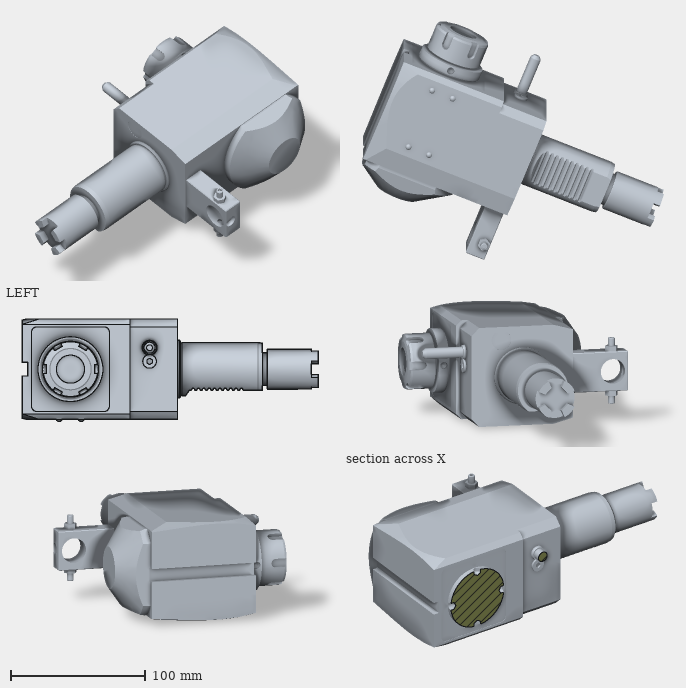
import cadquery as cq
import math


BODY_LEFT = -42.0
BODY_RIGHT = 38.7
BODY_BACK = 116.0
BODY_HALF_HEIGHT = 37.5
LEFT_CHAMFER = 4.0
STEP_LEFT = -39.2
STEP_LENGTH = 35.5
STEP_CHAMFER = 6.0
SLOPE_START_X = 23.9
SLOPE_ANGLE = 15.0
SLOPE_TAN = math.tan(math.radians(SLOPE_ANGLE))

RELIEF_RISE = 0.25
RELIEF_PEAK_X = -14.4
RELIEF_PEAK_Y = 112.8
RELIEF_CORNER_LEFT_X = -37.7
RELIEF_CORNER_Y = 103.4
RELIEF_END_X = 45.0
RELIEF_END_Y = 96.7
RELIEF_SWEEP = 60.0

NOTCH_WIDTH = 10.0
NOTCH_DEPTH = 4.4

COLLAR_RADIUS = 21.7
COLLAR_LENGTH = 2.0
COLLAR_CHAMFER = 0.8
SHANK_RADIUS = 20.0
SHANK_LENGTH = 63.2
RELIEF_GROOVE_RADIUS = 19.6
RELIEF_GROOVE_END = 3.2
PILOT_RADIUS = 19.4
PILOT_LENGTH = 3.4
NECK_RADIUS = 12.3
DRIVE_START = 66.6
DRIVE_RADIUS = 15.0
DRIVE_SHOULDER = 99.7
DRIVE_CHAMFER = 0.5
DRIVE_END = 104.85

FLAT_Z = -15.9
RAMP_START_Y = -5.8
RAMP_END_Y = -8.6
FIRST_GROOVE_Y = -11.5
GROOVE_PITCH = 4.0
GROOVE_COUNT = 10
GROOVE_DEPTH = 1.5
GROOVE_MOUTH = 3.0
GROOVE_FLOOR = 1.2

DOG_COUNT = 4
FIRST_DOG_ANGLE = math.radians(45)
DOG_HALF_ANGLE = math.radians(21)
DOG_INNER_RADIUS = 9.6

PLUG_X = -16.2
PLUG_Z = 27.6
PLUG_RADIUS = 7.5
PLUG_RECESS = 0.2

SPINDLE_Y = 80.0
PLATE_LENGTH = 58.0
PLATE_HEIGHT = 63.2
PLATE_CORNER = 4.0
PLATE_RECESS = 0.3
RING_RADIUS = 24.2
RING_FRONT_X = -50.2
RING_BACK_X = -42.9
RING_SEAT_RADIUS = 23.2
RING_HOLE_X = -46.4
RING_HOLE_RADIUS = 2.7
RING_HOLE_DEPTH = 3.0
RING_HOLE_TIP = 1.6
RING_HOLE_COUNT = 4
NUT_NECK_RADIUS = 16.5
NUT_BACK_X = -51.3
NUT_RADIUS = 20.9
NUT_BEVEL_X = -69.1
NUT_EDGE_X = -70.7
NUT_EDGE_RADIUS = 20.4
NUT_FACE_X = -71.8
NUT_FACE_RADIUS = 15.4
NUT_BACK_CHAMFER = 0.5
NUT_BORE_RADIUS = 10.5
NUT_BORE_DEPTH = 3.0
NUT_SLOT_COUNT = 6
NUT_SLOT_WIDTH = 6.6
NUT_SLOT_END_X = -58.7
NUT_SLOT_FLOOR_RADIUS = 17.8

CAP_RADIUS = 40.0
CAP_RIM_X = 44.6
CAP_FACE_X = 61.6
CAP_FACE_RADIUS = 16.0
CAP_BACK_Y = 112.2
CAP_SHOULDER_X = 41.0

BRACKET_RIGHT = 81.8
BRACKET_FRONT_Y = 1.1
BRACKET_BACK_Y = 16.0
BRACKET_HEIGHT = 30.0
BRACKET_CHAMFER = 0.6
BRACKET_HOLE_X = 69.9
BRACKET_HOLE_RADIUS = 9.3
END_HOLE_RADIUS = 4.4
SCREW_Y = 6.0
SCREW_RADIUS = 2.55
SCREW_CHAMFER = 0.4
SCREW_BORE_RADIUS = 1.8
SCREW_TOP_Z = 25.0
SCREW_BORE_END_Z = 11.0
SCREW_SOCKET_SIZE = 3.0
SCREW_SOCKET_DEPTH = 2.0
LOCKNUT_ACROSS_FLATS = 8.2
LOCKNUT_TOP_Z = 18.8
LOCKNUT_TURN = 30.0

PIPE_Y = 21.0
PIPE_Z = 16.0
PIPE_RADIUS = 4.1
PIPE_TIP_X = NUT_FACE_X
PIPE_TIP_RADIUS = 2.2
PIPE_TIP_LENGTH = 2.4
PIPE_COLLAR_X = -41.3
PIPE_COLLAR_RADIUS = 5.6
PIPE_COLLAR_TIP_RADIUS = 5.1
SIDE_SCREW_Z = 5.8
SIDE_SCREW_RADIUS = 5.1
SIDE_SCREW_TOP_X = -40.9
SIDE_SCREW_SOCKET = 4.0
SIDE_SCREW_SOCKET_DEPTH = 1.5

RIVET_XS = (-30.5, 16.5)
RIVET_YS = (72.0, 88.5)
RIVET_RADIUS = 2.2
RIVET_HEIGHT = 1.6

OVERLAP = 1.0


def box_between(x_range, y_range, z_range):
    """Axis-aligned box spanning three (low, high) ranges."""
    sizes = [high - low for low, high in (x_range, y_range, z_range)]
    corner = cq.Vector(x_range[0], y_range[0], z_range[0])
    return cq.Workplane(obj=cq.Solid.makeBox(*sizes, corner))


def x_cylinder(radius, x_start, x_end, y, z):
    """Cylinder along X between two X positions."""
    return cq.Workplane("YZ", origin=(x_start, y, z)).circle(radius).extrude(x_end - x_start)


def revolve_about_spindle(profile):
    """Solid of revolution about the spindle axis from (x, radius) points."""
    return (
        cq.Workplane("XY", origin=(0, SPINDLE_Y, 0))
        .polyline(profile)
        .close()
        .revolve(360, (0, 0), (1, 0))
    )


def slope_height(x):
    """Height of the inclined upper face at a given X."""
    return BODY_HALF_HEIGHT - (x - SLOPE_START_X) * SLOPE_TAN


def body_outline(left, chamfer):
    """Corner points (x, z) of the body cross-section for a given left side."""
    upper = [
        (left, BODY_HALF_HEIGHT - chamfer),
        (left + chamfer, BODY_HALF_HEIGHT),
        (SLOPE_START_X, BODY_HALF_HEIGHT),
        (BODY_RIGHT, slope_height(BODY_RIGHT)),
    ]
    lower = [(x, -z) for x, z in reversed(upper)]
    return upper + lower


def make_body():
    """Block with a stepped, chamfered left side and inclined right side."""
    front = (
        cq.Workplane("XZ")
        .polyline(body_outline(STEP_LEFT, STEP_CHAMFER))
        .close()
        .extrude(-STEP_LENGTH)
    )
    back = (
        cq.Workplane("XZ", origin=(0, STEP_LENGTH, 0))
        .polyline(body_outline(BODY_LEFT, LEFT_CHAMFER))
        .close()
        .extrude(STEP_LENGTH - BODY_BACK)
    )
    return front.union(back)


def make_back_relief():
    """Cutter above a crowned curve on the back face, swept forward and upward."""

    def back_height(y):
        return BODY_HALF_HEIGHT - RELIEF_RISE * (BODY_BACK - y)

    curve = [
        (-RELIEF_END_X, back_height(RELIEF_END_Y)),
        (RELIEF_CORNER_LEFT_X, back_height(RELIEF_CORNER_Y)),
        (RELIEF_PEAK_X, back_height(RELIEF_PEAK_Y)),
        (SLOPE_START_X, back_height(RELIEF_CORNER_Y)),
        (RELIEF_END_X, back_height(RELIEF_END_Y)),
    ]
    clearance_z = BODY_HALF_HEIGHT + 2 * OVERLAP
    outline = (
        cq.Workplane("XZ", origin=(0, BODY_BACK, 0))
        .moveTo(*curve[0])
        .spline(curve[1:], includeCurrent=True)
        .lineTo(RELIEF_END_X, clearance_z)
        .lineTo(-RELIEF_END_X, clearance_z)
        .close()
    )
    sweep = cq.Vector(0, -RELIEF_SWEEP, RELIEF_SWEEP * RELIEF_RISE)
    return cq.Workplane(obj=cq.Solid.extrudeLinear(outline.val(), [], sweep))


def make_shank():
    """Turned shank with collar, neck and drive end, and its toothed flat."""
    profile = [
        (0, OVERLAP),
        (COLLAR_RADIUS, OVERLAP),
        (COLLAR_RADIUS, COLLAR_CHAMFER - COLLAR_LENGTH),
        (COLLAR_RADIUS - COLLAR_CHAMFER, -COLLAR_LENGTH),
        (RELIEF_GROOVE_RADIUS, -COLLAR_LENGTH),
        (RELIEF_GROOVE_RADIUS, -RELIEF_GROOVE_END),
        (SHANK_RADIUS, -RELIEF_GROOVE_END),
        (SHANK_RADIUS, PILOT_LENGTH - SHANK_LENGTH),
        (PILOT_RADIUS, -SHANK_LENGTH),
        (NECK_RADIUS, -SHANK_LENGTH),
        (NECK_RADIUS, -DRIVE_START),
        (DRIVE_RADIUS - DRIVE_CHAMFER, -DRIVE_START),
        (DRIVE_RADIUS, -DRIVE_START - DRIVE_CHAMFER),
        (DRIVE_RADIUS, -DRIVE_END),
        (0, -DRIVE_END),
    ]
    shank = cq.Workplane("XY").polyline(profile).close().revolve(360, (0, 0), (0, 1))
    return shank.cut(make_toothed_flat()).cut(make_dog_clearance())


def make_toothed_flat():
    """Cutter for the flat below the shank, its ramp and its tooth grooves."""
    below_z = -COLLAR_RADIUS - OVERLAP
    ramp_slope = (FLAT_Z + SHANK_RADIUS) / (RAMP_START_Y - RAMP_END_Y)
    ramp_foot_y = RAMP_START_Y + (-SHANK_RADIUS - below_z) / ramp_slope
    flat = [
        (ramp_foot_y, below_z),
        (RAMP_END_Y, FLAT_Z),
        (-SHANK_LENGTH - OVERLAP, FLAT_Z),
        (-SHANK_LENGTH - OVERLAP, below_z),
    ]
    side = cq.Workplane("YZ")
    cutter = side.polyline(flat).close().extrude(SHANK_RADIUS, both=True)
    collar_guard = box_between(
        (-COLLAR_RADIUS, COLLAR_RADIUS), (-COLLAR_LENGTH, OVERLAP), (below_z, 0)
    )
    cutter = cutter.cut(collar_guard)
    for index in range(GROOVE_COUNT):
        center_y = FIRST_GROOVE_Y - index * GROOVE_PITCH
        groove = [
            (center_y - GROOVE_MOUTH / 2, FLAT_Z),
            (center_y - GROOVE_FLOOR / 2, FLAT_Z + GROOVE_DEPTH),
            (center_y + GROOVE_FLOOR / 2, FLAT_Z + GROOVE_DEPTH),
            (center_y + GROOVE_MOUTH / 2, FLAT_Z),
        ]
        cutter = cutter.union(side.polyline(groove).close().extrude(SHANK_RADIUS, both=True))
    return cutter


def make_dog_clearance():
    """Cutter for the space around the dogs, which have radial sides and straight inner faces."""

    def at(radius, angle):
        return (radius * math.cos(angle), radius * math.sin(angle))

    end_plane = cq.Workplane("XZ", origin=(0, -DRIVE_SHOULDER, 0))
    dog_length = DRIVE_END - DRIVE_SHOULDER
    outer_radius = DRIVE_RADIUS + 2 * OVERLAP
    clearance = end_plane.circle(DRIVE_RADIUS + OVERLAP).extrude(dog_length + OVERLAP)
    for index in range(DOG_COUNT):
        middle = FIRST_DOG_ANGLE + index * 2 * math.pi / DOG_COUNT
        low = middle - DOG_HALF_ANGLE
        high = middle + DOG_HALF_ANGLE
        dog = (
            end_plane.moveTo(*at(DOG_INNER_RADIUS, low))
            .lineTo(*at(outer_radius, low))
            .threePointArc(at(outer_radius, middle), at(outer_radius, high))
            .lineTo(*at(DOG_INNER_RADIUS, high))
            .close()
            .extrude(dog_length + OVERLAP)
        )
        clearance = clearance.cut(dog)
    return clearance


def make_plug_recess():
    """Shallow round recess marking the plug beside the shank."""
    return (
        cq.Workplane("XZ", origin=(PLUG_X, PLUG_RECESS, PLUG_Z))
        .circle(PLUG_RADIUS)
        .extrude(PLUG_RECESS + OVERLAP)
    )


def make_plate_recess():
    """Shallow rounded rectangular seat of the bearing plate around the spindle."""
    return (
        cq.Workplane("YZ", origin=(BODY_LEFT - OVERLAP, SPINDLE_Y, 0))
        .rect(PLATE_LENGTH, PLATE_HEIGHT)
        .extrude(PLATE_RECESS + OVERLAP)
        .edges("|X")
        .fillet(PLATE_CORNER)
    )


def make_collet_nut():
    """Spindle ring and slotted collet nut."""
    profile = [
        (BODY_LEFT + OVERLAP, 0),
        (BODY_LEFT + OVERLAP, RING_SEAT_RADIUS),
        (RING_BACK_X, RING_SEAT_RADIUS),
        (RING_BACK_X, RING_RADIUS),
        (RING_FRONT_X, RING_RADIUS),
        (RING_FRONT_X, NUT_NECK_RADIUS),
        (NUT_BACK_X, NUT_NECK_RADIUS),
        (NUT_BACK_X, NUT_RADIUS - NUT_BACK_CHAMFER),
        (NUT_BACK_X - NUT_BACK_CHAMFER, NUT_RADIUS),
        (NUT_BEVEL_X, NUT_RADIUS),
        (NUT_EDGE_X, NUT_EDGE_RADIUS),
        (NUT_FACE_X, NUT_FACE_RADIUS),
        (NUT_FACE_X, NUT_BORE_RADIUS),
        (NUT_FACE_X + NUT_BORE_DEPTH, NUT_BORE_RADIUS),
        (NUT_FACE_X + NUT_BORE_DEPTH, 0),
    ]
    nut = revolve_about_spindle(profile)
    spindle_start = (0, SPINDLE_Y, 0)
    spindle_end = (1, SPINDLE_Y, 0)

    slot_round_x = NUT_SLOT_END_X - NUT_SLOT_WIDTH / 2
    slot_front_x = NUT_FACE_X - OVERLAP
    slot = (
        cq.Workplane("XZ", origin=(0, SPINDLE_Y - NUT_SLOT_FLOOR_RADIUS, 0))
        .moveTo(slot_front_x, -NUT_SLOT_WIDTH / 2)
        .lineTo(slot_round_x, -NUT_SLOT_WIDTH / 2)
        .threePointArc((NUT_SLOT_END_X, 0), (slot_round_x, NUT_SLOT_WIDTH / 2))
        .lineTo(slot_front_x, NUT_SLOT_WIDTH / 2)
        .close()
        .extrude(NUT_RADIUS)
    )
    for index in range(NUT_SLOT_COUNT):
        nut = nut.cut(slot.rotate(spindle_start, spindle_end, index * 360 / NUT_SLOT_COUNT))

    hole_profile = [
        (0, RING_RADIUS + OVERLAP),
        (RING_HOLE_RADIUS, RING_RADIUS + OVERLAP),
        (RING_HOLE_RADIUS, RING_RADIUS - RING_HOLE_DEPTH),
        (0, RING_RADIUS - RING_HOLE_DEPTH - RING_HOLE_TIP),
    ]
    hole = (
        cq.Workplane("XY", origin=(RING_HOLE_X, SPINDLE_Y, 0))
        .polyline(hole_profile)
        .close()
        .revolve(360, (0, 0), (0, 1))
    )
    for index in range(RING_HOLE_COUNT):
        nut = nut.cut(hole.rotate(spindle_start, spindle_end, index * 360 / RING_HOLE_COUNT))
    return nut


def make_rear_cap():
    """Conical cap trimmed at the back and along the inclined faces of the body."""
    cap_start_x = BODY_RIGHT - OVERLAP
    profile = [
        (cap_start_x, 0),
        (cap_start_x, CAP_RADIUS),
        (CAP_RIM_X, CAP_RADIUS),
        (CAP_FACE_X, CAP_FACE_RADIUS),
        (CAP_FACE_X, 0),
    ]
    upper = [
        (cap_start_x, slope_height(CAP_SHOULDER_X)),
        (CAP_SHOULDER_X, slope_height(CAP_SHOULDER_X)),
        (CAP_FACE_X, slope_height(CAP_FACE_X)),
    ]
    lower = [(x, -z) for x, z in reversed(upper)]
    envelope = (
        cq.Workplane("XZ", origin=(0, CAP_BACK_Y, 0))
        .polyline(upper + lower)
        .close()
        .extrude(CAP_BACK_Y)
    )
    return revolve_about_spindle(profile).intersect(envelope)


def make_notch():
    """Cutter for the locating notch across the back face."""
    return box_between(
        (BODY_LEFT - OVERLAP, BODY_RIGHT + OVERLAP),
        (BODY_BACK - NOTCH_DEPTH, BODY_BACK + OVERLAP),
        (-NOTCH_WIDTH / 2, NOTCH_WIDTH / 2),
    )


def make_bracket():
    """Bracket with a cross hole, an end hole, and a locknutted clamping screw above and below it."""
    bracket = box_between(
        (BODY_RIGHT - OVERLAP, BRACKET_RIGHT),
        (BRACKET_FRONT_Y, BRACKET_BACK_Y),
        (-BRACKET_HEIGHT / 2, BRACKET_HEIGHT / 2),
    )
    bracket = bracket.faces(">X or >Z or <Z").edges("not <X").chamfer(BRACKET_CHAMFER)
    cross_hole = (
        cq.Workplane("XZ", origin=(BRACKET_HOLE_X, 0, 0))
        .circle(BRACKET_HOLE_RADIUS)
        .extrude(-BRACKET_BACK_Y - OVERLAP)
    )
    end_hole = x_cylinder(END_HOLE_RADIUS, BRACKET_HOLE_X, BRACKET_RIGHT + OVERLAP, SCREW_Y, 0)
    screw_bore = cq.Workplane("XY", origin=(BRACKET_HOLE_X, SCREW_Y, 0)).circle(SCREW_BORE_RADIUS)
    bracket = bracket.cut(cross_hole).cut(end_hole).cut(screw_bore.extrude(SCREW_BORE_END_Z, both=True))

    screw = (
        cq.Workplane("XY", origin=(BRACKET_HOLE_X, SCREW_Y, SCREW_BORE_END_Z))
        .circle(SCREW_RADIUS)
        .extrude(SCREW_TOP_Z - SCREW_BORE_END_Z)
        .faces(">Z")
        .chamfer(SCREW_CHAMFER)
        .faces(">Z")
        .workplane()
        .polygon(6, SCREW_SOCKET_SIZE, circumscribed=True)
        .cutBlind(-SCREW_SOCKET_DEPTH)
    )
    locknut_base_z = BRACKET_HEIGHT / 2 - OVERLAP
    locknut = (
        cq.Workplane("XY", origin=(BRACKET_HOLE_X, SCREW_Y, locknut_base_z))
        .polygon(6, LOCKNUT_ACROSS_FLATS, circumscribed=True)
        .extrude(LOCKNUT_TOP_Z - locknut_base_z)
        .rotate((BRACKET_HOLE_X, SCREW_Y, 0), (BRACKET_HOLE_X, SCREW_Y, 1), LOCKNUT_TURN)
    )
    upper_screw = locknut.union(screw)
    return bracket.union(upper_screw).union(upper_screw.mirror("XY"))


def make_coolant_pipe():
    """Pipe parallel to the spindle, with a pointed tip and a tapered collar."""
    root_x = STEP_LEFT + OVERLAP
    profile = [
        (root_x, 0),
        (root_x, PIPE_COLLAR_RADIUS),
        (STEP_LEFT, PIPE_COLLAR_RADIUS),
        (PIPE_COLLAR_X, PIPE_COLLAR_TIP_RADIUS),
        (PIPE_COLLAR_X, PIPE_RADIUS),
        (PIPE_TIP_X + PIPE_TIP_LENGTH, PIPE_RADIUS),
        (PIPE_TIP_X, PIPE_TIP_RADIUS),
        (PIPE_TIP_X, 0),
    ]
    return (
        cq.Workplane("XY", origin=(0, PIPE_Y, PIPE_Z))
        .polyline(profile)
        .close()
        .revolve(360, (0, 0), (1, 0))
    )


def make_side_screw():
    """Low screw head with a hexagon socket, just below the coolant pipe."""
    head = x_cylinder(SIDE_SCREW_RADIUS, SIDE_SCREW_TOP_X, STEP_LEFT + OVERLAP, PIPE_Y, SIDE_SCREW_Z)
    socket = (
        cq.Workplane("YZ", origin=(SIDE_SCREW_TOP_X, PIPE_Y, SIDE_SCREW_Z))
        .polygon(6, SIDE_SCREW_SOCKET, circumscribed=True)
        .extrude(SIDE_SCREW_SOCKET_DEPTH)
    )
    return head.cut(socket)


def make_rivet(x, y):
    """Rivet head shaped as a spherical cap below the body."""
    sphere_radius = (RIVET_RADIUS**2 + RIVET_HEIGHT**2) / (2 * RIVET_HEIGHT)
    center_z = sphere_radius - RIVET_HEIGHT - BODY_HALF_HEIGHT
    return cq.Workplane("XY", origin=(x, y, center_z)).sphere(sphere_radius)


back_relief = make_back_relief()
result = make_body().cut(back_relief).cut(back_relief.mirror("XY"))
result = result.cut(make_plug_recess()).cut(make_plate_recess())
result = result.union(make_rear_cap()).cut(make_notch())
result = result.union(make_shank())
result = result.union(make_collet_nut())
result = result.union(make_bracket())
result = result.union(make_side_screw()).union(make_coolant_pipe())
for rivet_x in RIVET_XS:
    for rivet_y in RIVET_YS:
        result = result.union(make_rivet(rivet_x, rivet_y))